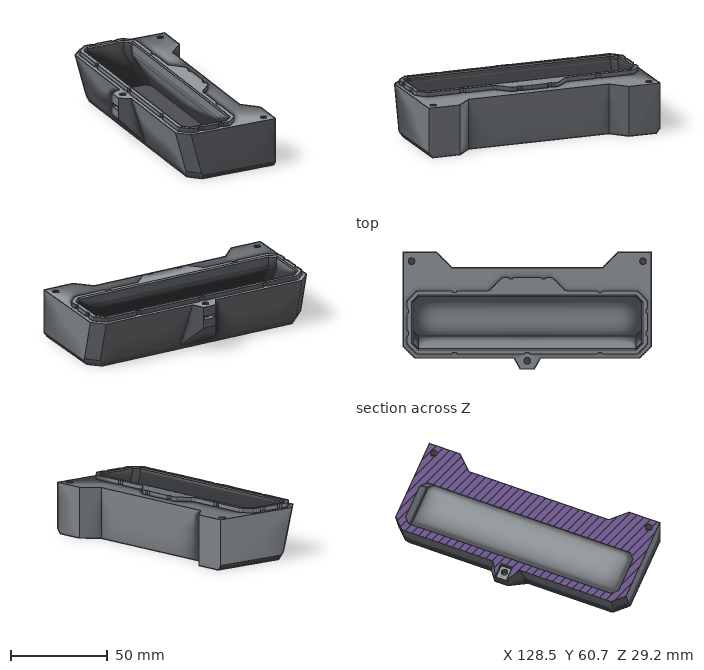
import cadquery as cq
import math

LENGTH = 128.5
HALF_LENGTH = LENGTH / 2
HEIGHT = 29.2
LIP_HEIGHT = 2.3
DECK_Z = HEIGHT - LIP_HEIGHT
BACK_Y = 54.9
FRONT_SLOPE = math.tan(math.radians(15))
CORNER_CUT = 6.0

RECESS_DEPTH = 8.1
RECESS_HALF_LENGTH = 38.9
RECESS_Y = BACK_Y - RECESS_DEPTH

SIDE_BEVEL_HEIGHT = 2.7
SIDE_BEVEL_RUN = 2.0
FRONT_BEVEL_HEIGHT = 2.0
FRONT_BEVEL_RUN = 0.9
CORNER_BEVEL_HEIGHT = 4.0
CORNER_BEVEL_RUN = 2.3

TAB_REACH = 5.8
TAB_ROOT_HALF_WIDTH = 6.8
TAB_TIP_HALF_WIDTH = 3.6
TAB_TIP_BOTTOM_Z = 15.2

HOLE_DIAMETER = 3.3
HOLE_DEPTH = 10.3
BACK_HOLE_X = 59.9
BACK_HOLE_Y = 50.1
TAB_HOLE_Y = -1.4
NUT_WIDTH = 6.0
NUT_HEIGHT = 2.0
NUT_SLOT_Z = 19.8

LIP_INSET = 2.0
LIP_HALF_LENGTH = HALF_LENGTH - LIP_INSET
LIP_BACK_Y = 34.8
LIP_CORNER_CUT = 5.1
LIP_ROUNDING = 2.6
BUMP_BACK_Y = 41.8
BUMP_HALF_LENGTH = 12.8

NOTCH_DEPTH = 0.8
NOTCH_MOUTH_HALF_WIDTH = 1.5
NOTCH_FLOOR_HALF_WIDTH = 0.8
LONG_SIDE_NOTCH_X = 37.7
BUMP_NOTCH_X = 8.5
END_NOTCH_YS = (12.7, 24.3)

CAVITY_HALF_LENGTH = 59.2
CAVITY_CORNER_CUT = 3.0
CAVITY_FLOOR_Z = 2.0
CAVITY_NECK_FRONT_Y = 4.9
CAVITY_NECK_BACK_Y = 31.9
CAVITY_BEND_Z = 22.4
CAVITY_BEND_RADIUS = 5.1
UNDERCUT_SLOPE = math.tan(math.radians(30))
MOUTH_BEVEL = 0.6
MOUTH_CORNER_CUT = 3.5


def front_y(z):
    """Y of the leaning front face at height z."""
    return (DECK_Z - z) * FRONT_SLOPE


def cut_corner_rectangle(half_length, y_front, y_back, cut, z):
    """Points of a rectangle with 45 degree corners, at height z."""
    return [
        cq.Vector(x, y, z)
        for x, y in (
            (-half_length + cut, y_front),
            (half_length - cut, y_front),
            (half_length, y_front + cut),
            (half_length, y_back - cut),
            (half_length - cut, y_back),
            (-half_length + cut, y_back),
            (-half_length, y_back - cut),
            (-half_length, y_front + cut),
        )
    ]


def ruled_solid(lower_points, upper_points):
    """Flat-sided solid between two matching outlines."""
    wires = [cq.Wire.makePolygon(points, close=True) for points in (lower_points, upper_points)]
    return cq.Workplane(obj=cq.Solid.makeLoft(wires, True))


def body_outline(z):
    """Plan of the body at height z, following the leaning front."""
    front = front_y(z)
    right_half = [
        (HALF_LENGTH - CORNER_CUT, front),
        (HALF_LENGTH, front + CORNER_CUT),
        (HALF_LENGTH, BACK_Y),
        (RECESS_HALF_LENGTH + RECESS_DEPTH, BACK_Y),
        (RECESS_HALF_LENGTH, RECESS_Y),
    ]
    left_half = [(-x, y) for x, y in reversed(right_half)]
    return [cq.Vector(x, y, z) for x, y in right_half + left_half]


def side_bevel():
    """Wedge removed under the left end."""
    return (
        cq.Workplane("XZ")
        .polyline([
            (-HALF_LENGTH, 0),
            (-HALF_LENGTH + SIDE_BEVEL_RUN, 0),
            (-HALF_LENGTH, SIDE_BEVEL_HEIGHT),
        ])
        .close()
        .extrude(-BACK_Y)
    )


def front_bevel():
    """Wedge removed under the front face."""
    return (
        cq.Workplane("YZ")
        .polyline([
            (front_y(FRONT_BEVEL_HEIGHT) - FRONT_BEVEL_RUN, 0),
            (front_y(FRONT_BEVEL_HEIGHT) + FRONT_BEVEL_RUN, 0),
            (front_y(FRONT_BEVEL_HEIGHT), FRONT_BEVEL_HEIGHT),
            (front_y(FRONT_BEVEL_HEIGHT) - FRONT_BEVEL_RUN, FRONT_BEVEL_HEIGHT),
        ])
        .close()
        .extrude(HALF_LENGTH, both=True)
    )


def corner_bevel():
    """Wedge removed under the left front corner, square to its 45 degree face."""
    face_point = (-HALF_LENGTH, front_y(CORNER_BEVEL_HEIGHT) + CORNER_CUT, 0)
    plane = cq.Plane(origin=face_point, xDir=(1, 1, 0), normal=(1, -1, 0))
    return (
        cq.Workplane(plane)
        .polyline([
            (-CORNER_BEVEL_RUN, 0),
            (CORNER_BEVEL_RUN, 0),
            (0, CORNER_BEVEL_HEIGHT),
            (-CORNER_BEVEL_RUN, CORNER_BEVEL_HEIGHT),
        ])
        .close()
        .extrude(2 * CORNER_CUT, both=True)
    )


def make_body():
    body = ruled_solid(body_outline(0), body_outline(DECK_Z)).cut(front_bevel())
    for bevel in (side_bevel(), corner_bevel()):
        body = body.cut(bevel).cut(bevel.mirror("YZ"))
    return body


def make_tab():
    """Trapezoid tab that spreads into the front face and slopes back underneath."""
    root_y = front_y(FRONT_BEVEL_HEIGHT)
    spread = (TAB_ROOT_HALF_WIDTH - TAB_TIP_HALF_WIDTH) / TAB_REACH
    root_half_width = TAB_ROOT_HALF_WIDTH + spread * root_y
    plan = (
        cq.Workplane("XY")
        .polyline([
            (-TAB_TIP_HALF_WIDTH, -TAB_REACH),
            (TAB_TIP_HALF_WIDTH, -TAB_REACH),
            (root_half_width, root_y),
            (-root_half_width, root_y),
        ])
        .close()
        .extrude(DECK_Z)
    )
    side_profile = (
        cq.Workplane("YZ")
        .polyline([
            (-TAB_REACH, DECK_Z),
            (-TAB_REACH, TAB_TIP_BOTTOM_Z),
            (root_y, FRONT_BEVEL_HEIGHT),
            (root_y, DECK_Z),
        ])
        .close()
        .extrude(root_half_width, both=True)
    )
    return plan.intersect(side_profile)


def lip_notch(x, y, inward_angle):
    """Notch cutter at a point of the lip outline; the angle points into the lip."""
    return (
        cq.Workplane("XY")
        .polyline([
            (0, -NOTCH_MOUTH_HALF_WIDTH),
            (NOTCH_DEPTH, -NOTCH_FLOOR_HALF_WIDTH),
            (NOTCH_DEPTH, NOTCH_FLOOR_HALF_WIDTH),
            (0, NOTCH_MOUTH_HALF_WIDTH),
        ])
        .close()
        .extrude(LIP_HEIGHT)
        .rotate((0, 0, 0), (0, 0, 1), inward_angle)
        .translate((x, y, DECK_Z))
    )


def make_lip():
    bump_foot = BUMP_HALF_LENGTH + BUMP_BACK_Y - LIP_BACK_Y
    right_half = [
        (LIP_HALF_LENGTH - LIP_CORNER_CUT, LIP_INSET),
        (LIP_HALF_LENGTH, LIP_INSET + LIP_CORNER_CUT),
        (LIP_HALF_LENGTH, LIP_BACK_Y - LIP_CORNER_CUT),
        (LIP_HALF_LENGTH - LIP_CORNER_CUT, LIP_BACK_Y),
        (bump_foot, LIP_BACK_Y),
        (BUMP_HALF_LENGTH, BUMP_BACK_Y),
    ]
    left_half = [(-x, y) for x, y in reversed(right_half)]
    lip = (
        cq.Workplane("XY", origin=(0, 0, DECK_Z))
        .polyline(right_half + left_half)
        .close()
        .extrude(LIP_HEIGHT)
        .edges("|Z")
        .fillet(LIP_ROUNDING)
    )
    lip = lip.cut(lip_notch(0, LIP_INSET, 90))
    for side in (-1, 1):
        lip = lip.cut(lip_notch(side * LONG_SIDE_NOTCH_X, LIP_INSET, 90))
        lip = lip.cut(lip_notch(side * LONG_SIDE_NOTCH_X, LIP_BACK_Y, -90))
        lip = lip.cut(lip_notch(side * BUMP_NOTCH_X, BUMP_BACK_Y, -90))
        for y in END_NOTCH_YS:
            lip = lip.cut(lip_notch(side * LIP_HALF_LENGTH, y, 90 + side * 90))
    return lip


def cavity_level(z):
    """Plan of the cavity at height z, below the mouth bevel."""
    y_front = CAVITY_NECK_FRONT_Y + max(front_y(z), 0)
    y_back = CAVITY_NECK_BACK_Y + max(CAVITY_BEND_Z - z, 0) * UNDERCUT_SLOPE
    return cut_corner_rectangle(CAVITY_HALF_LENGTH, y_front, y_back, CAVITY_CORNER_CUT, z)


def make_cavity():
    neck_z = HEIGHT - MOUTH_BEVEL
    floor, bend, deck, neck = [
        cavity_level(z) for z in (CAVITY_FLOOR_Z, CAVITY_BEND_Z, DECK_Z, neck_z)
    ]
    mouth = cut_corner_rectangle(
        CAVITY_HALF_LENGTH + MOUTH_BEVEL,
        CAVITY_NECK_FRONT_Y - MOUTH_BEVEL,
        CAVITY_NECK_BACK_Y + MOUTH_BEVEL,
        MOUTH_CORNER_CUT,
        HEIGHT,
    )
    chamber = (
        ruled_solid(floor, bend)
        .union(ruled_solid(bend, deck))
        .union(ruled_solid(deck, neck))
        .clean()
    )

    margin = 0.3
    back_bend = cq.selectors.BoxSelector(
        (-HALF_LENGTH, CAVITY_NECK_BACK_Y - CAVITY_CORNER_CUT, CAVITY_BEND_Z - margin),
        (HALF_LENGTH, CAVITY_NECK_BACK_Y + margin, CAVITY_BEND_Z + margin),
    )
    chamber = chamber.edges(back_bend).fillet(CAVITY_BEND_RADIUS)
    return chamber.union(ruled_solid(neck, mouth))


def make_holes():
    return (
        cq.Workplane("XY", origin=(0, 0, DECK_Z))
        .pushPoints([(-BACK_HOLE_X, BACK_HOLE_Y), (BACK_HOLE_X, BACK_HOLE_Y), (0, TAB_HOLE_Y)])
        .circle(HOLE_DIAMETER / 2)
        .extrude(-HOLE_DEPTH)
    )


def make_nut_slot():
    """Slot from the tab tip to just behind the tab hole, as far as the nut reaches."""
    slot_length = TAB_REACH + TAB_HOLE_Y + NUT_WIDTH / 2
    return cq.Workplane("XY").box(
        NUT_WIDTH, slot_length, NUT_HEIGHT, centered=(True, False, False)
    ).translate((0, -TAB_REACH, NUT_SLOT_Z))


result = (
    make_body()
    .union(make_tab())
    .union(make_lip())
    .cut(make_cavity())
    .cut(make_holes())
    .cut(make_nut_slot())
)